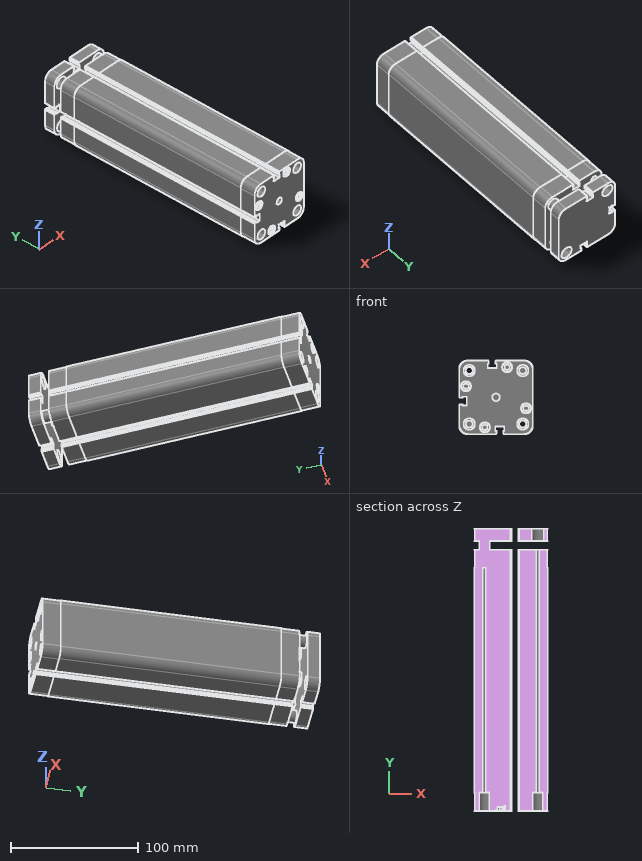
import cadquery as cq
import math


total_length = 222.0
tube_side = 58.1
cap_side = 58.0
cap_corner_radius = 7.5
tube_corner_radius = 7.0
plate_thickness = 10.0
plate_gap = 6.5
cap_length = 14.5
plate_start = total_length - plate_thickness
body_length = plate_start - plate_gap
tube_end = body_length - cap_length

groove_offset = 3.0
groove_mouth_width = 5.2
groove_width = 6.8
groove_lip = 2.7
groove_chamfer = 0.6
groove_depth = 6.0
groove_turns = (0, 180, 270)

corner_pitch = 42.0
corner_reach = corner_pitch / 2
counterbore_diameter = 9.0
counterbore_depth = cap_length
bolt_hole_diameter = 5.5
plate_hole_diameter = 10.5

port_diameter = 6.0
port_depth = cap_length

screw_near = 8.7
screw_far = 23.6
screw_hole_diameter = 8.0
screw_head_diameter = 7.5
screw_hole_depth = 4.0
screw_head_recess = 0.5
hex_across_flats = 4.0
hex_depth = 2.5

guide_rod_diameter = 10.0
piston_rod_diameter = 12.0
piston_rod_chamfer = 0.8
flat_across = 10.0
flat_length = 4.4

guide_corners = [(corner_reach, corner_reach), (-corner_reach, -corner_reach)]
open_corners = [(-corner_reach, corner_reach), (corner_reach, -corner_reach)]


def section_plane(y):
    """Sketch plane across the part at y: local x is -X, local y is Z, normal is +Y."""
    return cq.Workplane(cq.Plane(origin=(0, y, 0), xDir=(-1, 0, 0), normal=(0, 1, 0)))


def place(points):
    """Turn (x, z) positions into local coordinates of a section plane."""
    return [(-x, z) for x, z in points]


def rounded_bar(side, corner_radius, start, end):
    bar = section_plane(start).rect(side, side).extrude(end - start)
    return bar.edges("|Y").fillet(corner_radius)


def cylinders(points, diameter, start, end):
    return section_plane(start).pushPoints(place(points)).circle(diameter / 2).extrude(end - start)


def groove(side, start, end, turn):
    """Chamfered T-groove cutter for the top face of a bar, turned about the Y axis."""
    top = side / 2
    half_mouth = groove_mouth_width / 2
    half_channel = groove_width / 2
    half_outline = [
        (half_mouth + groove_chamfer, top),
        (half_mouth, top - groove_chamfer),
        (half_mouth, top - groove_lip),
        (half_channel, top - groove_lip),
        (half_channel, top - groove_depth),
    ]
    mirrored = [(-x, z) for x, z in reversed(half_outline)]
    outline = [(x - groove_offset, z) for x, z in half_outline + mirrored]
    cutter = section_plane(start).polyline(place(outline)).close().extrude(end - start)
    return cutter.rotate((0, 0, 0), (0, 1, 0), turn)


def grooved_bar(side, corner_radius, start, end):
    bar = rounded_bar(side, corner_radius, start, end)
    for turn in groove_turns:
        bar = bar.cut(groove(side, start, end, turn))
    return bar


def cut_screws(body):
    spots = [
        (screw_near, screw_far),
        (screw_far, -screw_near),
        (-screw_near, -screw_far),
        (-screw_far, screw_near),
    ]
    body = body.cut(cylinders(spots, screw_hole_diameter, 0, screw_hole_depth))
    heads = cylinders(spots, screw_head_diameter, screw_head_recess, screw_hole_depth)
    hex_corner_diameter = hex_across_flats / math.cos(math.pi / 6)
    sockets = section_plane(screw_head_recess).pushPoints(place(spots))
    hexagon = cq.Sketch().regularPolygon(hex_corner_diameter / 2, 6)
    sockets = sockets.placeSketch(hexagon).extrude(hex_depth)
    return body.union(heads.cut(sockets))


def piston_rod():
    end = plate_start
    rod = cylinders([(0, 0)], piston_rod_diameter, body_length, end)
    rod = rod.faces(">Y").chamfer(piston_rod_chamfer)
    flat = flat_across / 2
    radius = piston_rod_diameter / 2
    runout = radius - flat
    for side in (1, -1):
        cutter = (
            cq.Workplane("XY")
            .workplane(offset=-radius)
            .moveTo(side * flat, end)
            .lineTo(side * flat, end - flat_length)
            .lineTo(side * radius, end - flat_length - runout)
            .lineTo(side * radius, end)
            .close()
            .extrude(piston_rod_diameter)
        )
        rod = rod.cut(cutter)
    return rod


def cylinder_body():
    body = grooved_bar(cap_side, cap_corner_radius, 0, cap_length)
    body = body.union(grooved_bar(tube_side, tube_corner_radius, cap_length, tube_end))
    body = body.union(grooved_bar(cap_side, cap_corner_radius, tube_end, body_length))
    body = body.cut(cylinders([(0, 0)], port_diameter, 0, port_depth))
    body = body.cut(cylinders(open_corners + guide_corners, counterbore_diameter, 0, counterbore_depth))
    body = body.cut(cylinders(open_corners, bolt_hole_diameter, 0, body_length))
    body = body.cut(cylinders(guide_corners, bolt_hole_diameter, 0, tube_end))
    return cut_screws(body)


def front_plate():
    plate = grooved_bar(cap_side, cap_corner_radius, plate_start, total_length)
    return plate.cut(cylinders(open_corners, plate_hole_diameter, plate_start, total_length))


guide_rods = cylinders(guide_corners, guide_rod_diameter, body_length, plate_start)
result = cylinder_body().union(guide_rods).union(piston_rod()).union(front_plate())